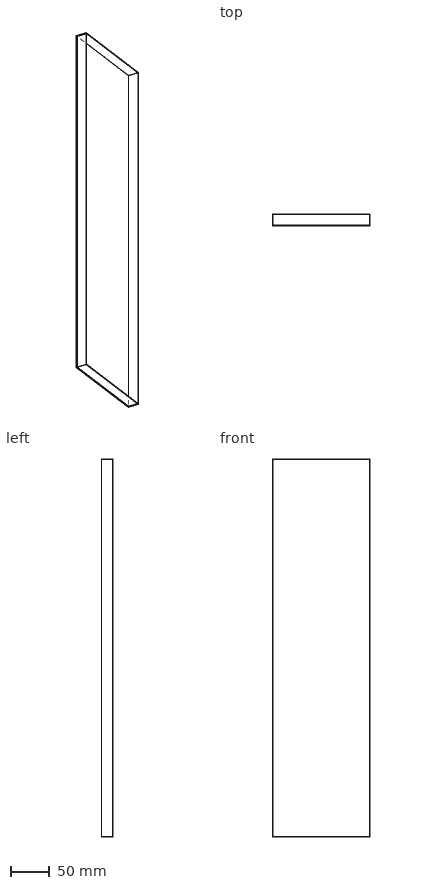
import cadquery as cq

width = 126.0
depth = 15.0
height = 486.0
wall = 1.0

tray_block = cq.Workplane("XY").box(width, depth, height)

hollow_depth = depth - wall
hollow = (
    cq.Workplane("XY")
    .box(width - 2 * wall, hollow_depth, height - 2 * wall)
    .translate((0, wall / 2, 0))
)

result = tray_block.cut(hollow)